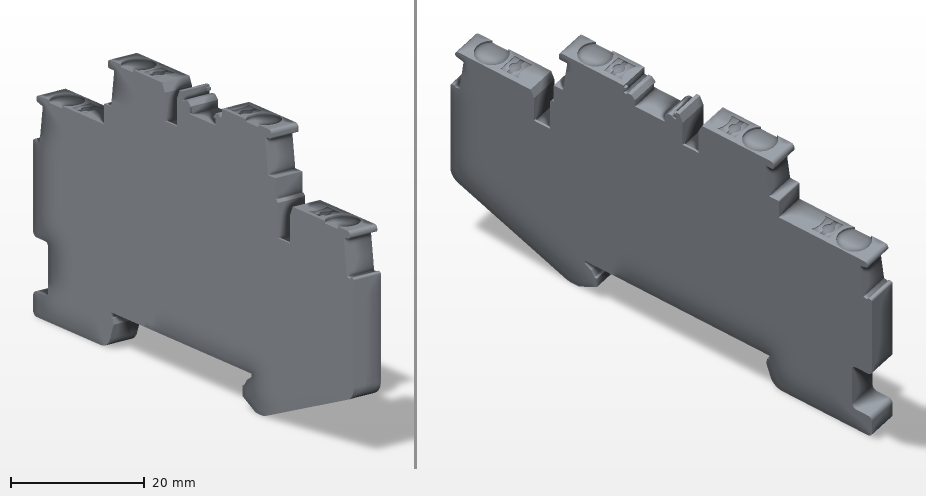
import cadquery as cq
import math

length = 78.8
thickness = 5.1
upper_top = 45.9
lower_top = 35.2

head_nose = 1.4
neck_drop = 7.3
neck_inset_top = 1.6
lower_nose_rise = 0.4
neck_inset_foot = 0.8
nose_top_radius = 0.6
nose_bottom_radius = 0.3
lower_tip_left, lower_tip_right = 0.8, 77.9
upper_tip_left, upper_tip_right = 18.35, 58.55

shoulder_left, shoulder_right = 17.4, 59.5
shoulder_radius = 0.2
shoulder_top = upper_top - neck_drop
side_top = 28.05
side_top_radius = 0.3
side_edge = 0.6
groove_slant = 0.3
groove_radius = 0.15
groove_floor = side_top - 0.3

slot_width = 3.0
upper_slot_x, upper_slot_floor = 32.4, 39.95
lower_slot_x, lower_slot_floor = 60.2, 29.2
slot_mouth_drop = 1.4
slot_mouth_run = 0.6
slot_step_chamfer = 0.4
slot_well_lip = 0.4
slot_well_depth = 0.3

marker_mid = 41.5
marker_half = 2.75
marker_floor = 42.8
marker_lip_top = 44.05
marker_ridge_top = 44.75
marker_ridge_inner, marker_ridge_outer = 3.5, 4.1
marker_groove_bottom = 44.45
marker_groove_inner, marker_wall = 4.3, 4.9
marker_notch_length = 0.55
marker_notch_width = 0.5
marker_notch_height = 1.1
catch_length, catch_width, catch_height = 0.4, 0.6, 0.5
catch_middle_z = 45.3

notch_depth, notch_bottom, notch_top = 3.7, 4.0, 12.6
corner_radius = 0.8
rail_seat = 5.9
rail_left, rail_right = 19.15, 53.7
toe_left_x, toe_left_z = 19.8, 4.1
foot_left_end = 18.35
hook_x, hook_bottom, hook_top = 51.45, 1.7, 3.5
foot_right_start, foot_right_end = 54.8, 56.7
hook_knee = (52.5, 4.6)
hook_tip_width = 0.4
rail_step_right = 0.55
rail_step_left, rail_step_width = 0.8, 0.4
hook_tip_radius, hook_knee_radius, rail_radius = 0.3, 0.6, 0.2
foot_radius, foot_right_radius = 2.4, 1.2
slope_end = 9.1

disc_radius = 2.7
disc_y = 2.2
disc_depth = 0.4
symbol_offset = 4.6
symbol_y = 2.45
symbol_near, symbol_far = 1.4, 1.9
symbol_width = 3.55
symbol_waist = 0.5
symbol_depth = 0.15
screw_radius = 0.95
screw_slot_width = 0.8
screw_depth = 0.3

heads = [
    (5.5, lower_top, 1),
    (23.1, upper_top, 1),
    (53.9, upper_top, -1),
    (73.3, lower_top, -1),
]


def head_end(tip, top, inward, nose_rise):
    """Corners of a head end from the foot of the neck up to the head top."""
    neck_top = top - head_nose
    return [
        (tip + inward * neck_inset_foot, top - neck_drop, 0),
        (tip + inward * neck_inset_top, neck_top, 0),
        (tip, neck_top + nose_rise, nose_bottom_radius),
        (tip, top, nose_top_radius),
    ]


def marker_side(side):
    """Corners of one side of the marker carrier, from its floor up to the wall top."""
    corners = [
        (marker_half, marker_floor),
        (marker_half, marker_lip_top),
        (marker_ridge_inner, marker_ridge_top),
        (marker_ridge_outer, marker_ridge_top),
        (marker_groove_inner, marker_groove_bottom),
        (marker_wall, marker_groove_bottom),
        (marker_wall, upper_top),
    ]
    return [(marker_mid + side * offset, z, 0) for offset, z in corners]


def profile_corners():
    """Corners (x, z, rounding radius), clockwise from the bottom left."""
    r = corner_radius
    side_notch = [
        (0, 0, r),
        (0, notch_bottom, r),
        (notch_depth, notch_bottom, r),
        (notch_depth, notch_top, r),
        (0, notch_top, r),
        (0, side_top, side_top_radius),
        (side_edge, side_top, groove_radius),
        (side_edge + groove_slant, groove_floor, groove_radius),
    ]
    left_shoulder = [
        (shoulder_left, lower_top, 0),
        (shoulder_left, shoulder_top, shoulder_radius),
    ]
    upper_slot = [
        (upper_slot_x - slot_mouth_run, upper_top, 0),
        (upper_slot_x, upper_top - slot_mouth_drop, 0),
        (upper_slot_x, upper_slot_floor, 0),
        (upper_slot_x + slot_width, upper_slot_floor, 0),
        (upper_slot_x + slot_width, upper_top - slot_mouth_drop, 0),
        (upper_slot_x + slot_width + slot_mouth_run, upper_top, 0),
    ]
    right_shoulder = [
        (shoulder_right, shoulder_top, 0),
        (shoulder_right, lower_top, 0),
    ]
    lower_slot = [
        (lower_slot_x - slot_step_chamfer, lower_top, 0),
        (lower_slot_x, lower_top - slot_step_chamfer, 0),
        (lower_slot_x, lower_slot_floor, 0),
        (lower_slot_x + slot_width, lower_slot_floor, 0),
        (lower_slot_x + slot_width, lower_top - slot_mouth_drop, 0),
        (lower_slot_x + slot_width + slot_mouth_run, lower_top, 0),
    ]
    right_foot = [
        (length - side_edge - groove_slant, groove_floor, groove_radius),
        (length - side_edge, side_top, groove_radius),
        (length, side_top, side_top_radius),
        (length, slope_end, foot_radius),
        (foot_right_end, 0, foot_radius),
        (foot_right_start, 0, foot_right_radius),
        (hook_x, hook_bottom, 0),
        (hook_x, hook_top, 0),
        (hook_x + hook_tip_width, hook_top, hook_tip_radius),
        (*hook_knee, hook_knee_radius),
        (rail_right, rail_seat - rail_step_right, 0),
        (rail_right, rail_seat, 0),
    ]
    left_foot = [
        (rail_left, rail_seat, rail_radius),
        (rail_left, rail_seat - rail_step_left, 0),
        (rail_left + rail_step_width, rail_seat - rail_step_left, 0),
        (toe_left_x, toe_left_z, 0),
        (foot_left_end, 0, foot_radius),
    ]
    corners = list(side_notch)
    corners += head_end(lower_tip_left, lower_top, 1, lower_nose_rise)
    corners += left_shoulder
    corners += head_end(upper_tip_left, upper_top, 1, 0)
    corners += upper_slot
    corners += marker_side(-1)[::-1]
    corners += marker_side(1)
    corners += head_end(upper_tip_right, upper_top, -1, 0)[::-1]
    corners += right_shoulder
    corners += lower_slot
    corners += head_end(lower_tip_right, lower_top, -1, lower_nose_rise)[::-1]
    return corners + right_foot + left_foot


def midpoint(a, b):
    return ((a[0] + b[0]) / 2, (a[1] + b[1]) / 2)


def rounded_outline(corners):
    """Closed wire in the XZ plane with the given corners rounded by tangent arcs."""
    before = cq.Vector(*corners[-1][:2])
    outline = cq.Workplane("XZ").moveTo(*midpoint(corners[-1], corners[0]))
    for i, (x, z, radius) in enumerate(corners):
        here = cq.Vector(x, z)
        after = cq.Vector(*corners[(i + 1) % len(corners)][:2])
        if radius == 0:
            outline = outline.lineTo(x, z)
        else:
            back = (before - here).normalized()
            ahead = (after - here).normalized()
            half_angle = back.getAngle(ahead) / 2
            tangent = radius / math.tan(half_angle)
            to_arc = radius / math.sin(half_angle) - radius
            arc_start = here + back * tangent
            arc_middle = here + (back + ahead).normalized() * to_arc
            arc_end = here + ahead * tangent
            outline = outline.lineTo(arc_start.x, arc_start.y)
            outline = outline.threePointArc((arc_middle.x, arc_middle.y), (arc_end.x, arc_end.y))
        before = here
    return outline.close()


def box(x, y, z, dx, dy, dz):
    """Box with its lowest corner at (x, y, z)."""
    return cq.Workplane("XY").box(dx, dy, dz, centered=False).translate((x, y, z))


def slot_well(x, floor):
    """Shallow well in a slot floor, leaving a lip along both faces."""
    width = thickness - 2 * slot_well_lip
    return box(x, slot_well_lip, floor - slot_well_depth, slot_width, width, 2 * slot_well_depth)


def head_recesses(disc_x, top, toward):
    """Disc recess, open at the front face, and the screw symbol beside it."""
    disc = (
        cq.Workplane("XY", origin=(disc_x, disc_y, top))
        .circle(disc_radius)
        .extrude(-disc_depth)
    )
    half = symbol_width / 2
    far = toward * symbol_far
    near = -toward * symbol_near
    plane = cq.Workplane("XY", origin=(disc_x + toward * symbol_offset, symbol_y, top))
    plate = (
        plane.moveTo(near, -half)
        .lineTo(far, -half)
        .threePointArc((far - toward * symbol_waist, 0), (far, half))
        .lineTo(near, half)
        .close()
        .extrude(-symbol_depth)
    )
    screw = plane.circle(screw_radius).extrude(-screw_depth)
    screw_slot = plane.rect(screw_slot_width, symbol_width).extrude(-screw_depth)
    return disc.union(plate).union(screw).union(screw_slot)


result = rounded_outline(profile_corners()).extrude(-thickness)

result = result.cut(slot_well(upper_slot_x, upper_slot_floor))
result = result.cut(slot_well(lower_slot_x, lower_slot_floor))

for side in (-1, 1):
    notch_mid = marker_mid + side * (marker_half + marker_notch_length / 2)
    notch = box(
        notch_mid - marker_notch_length / 2, 0, marker_floor,
        marker_notch_length, marker_notch_width, marker_notch_height,
    )
    catch_mid = marker_mid + side * (marker_wall - catch_length / 2)
    catch = box(
        catch_mid - catch_length / 2, thickness - catch_width, catch_middle_z - catch_height / 2,
        catch_length, catch_width, catch_height,
    )
    result = result.cut(notch).union(catch)

for head in heads:
    result = result.cut(head_recesses(*head))